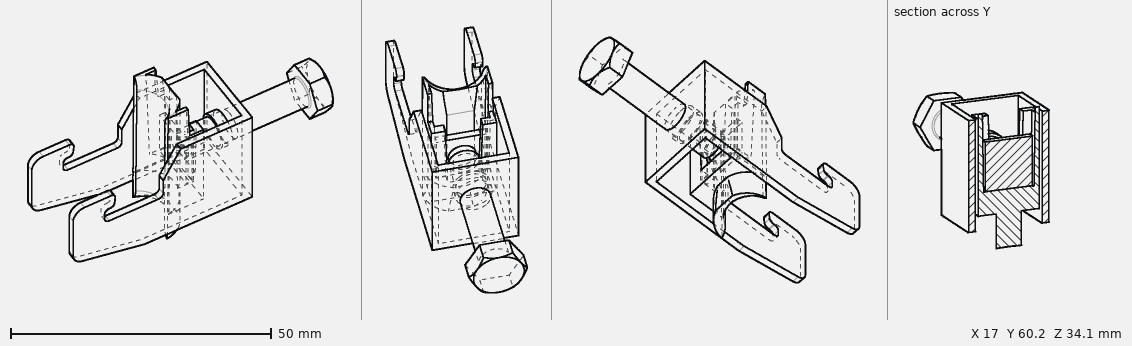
import cadquery as cq
import math


BRACKET_WIDTH = 17.0
SHEET = 1.5
BRACKET_TOP = 9.75
BRACKET_BOTTOM = -12.8
LEG_END = -40.05
SHOULDER_Y = -16.0
SLOT_BACK = -19.95
SLOT_FRONT = -33.0
SLOT_FLOOR = -1.7
SLOT_BACK_TOP = 3.0
HOOK_TOP = 5.2
LIP_BOTTOM = 1.75
LIP_TIP_TOP = -30.5
LIP_TIP_BOTTOM = -30.9
CHIN_START = -24.1
CHIN_HEIGHT = 3.45
SMALL_RADIUS = 1.0
NOSE_RADIUS = 2.55
COLLAR_DIAMETER = 7.2
COLLAR_LENGTH = 2.3
SELECT_MARGIN = 0.05

SHANK_DIAMETER = 6.0
HEAD_FLATS = 10.0
HEAD_HEIGHT = 4.0
OVERALL_LENGTH = 60.25
HEAD_TOP = OVERALL_LENGTH + LEG_END
HEAD_CHAMFER = 0.65
UNDERHEAD_RADIUS = 0.3
SHANK_END = -9.9
NECK_START_DIAMETER = 4.45
NECK_END_DIAMETER = 5.4

PLATE_WIDTH = 10.05
PLATE_BACK = -11.45
PLATE_FRONT = -12.8

SADDLE_WIDTH = 12.85
SADDLE_TOP = 17.35
SADDLE_BOTTOM = -16.7
RIM_TOP_Y = -17.6
RIM_BOTTOM_Y = -17.85
BACK_TOP_Y = -13.15
BACK_BOTTOM_Y = -12.65
CROWN_Y = -12.0
CROWN_Z = -3.2
BLOCK_BACK = -9.7
BLOCK_TOP = BRACKET_TOP
BLOCK_BOTTOM = -BLOCK_TOP
POCKET_BACK = -11.3
POCKET_FLOOR = -PLATE_WIDTH / 2
POCKET_FLOOR_WIDTH = 10.5
POCKET_TOP_WIDTH = 11.2
NOTCH_FLOOR_WIDTH = 6.5
NOTCH_TOP_WIDTH = 7.35
TROUGH_RADIUS = 6.45
TROUGH_AXIS_Y = -18.6
BORE_RADIUS = 6.0
BORE_AXIS_Y = -20.6
FLARE_LENGTH = 2.7
FLARE_STEPS = 4
MOUTH_LIP = 0.05
MOUTH_RADIUS = TROUGH_RADIUS - MOUTH_LIP


def extrude_along_x(profile, width):
    """Extrude a closed YZ profile symmetrically about x = 0."""
    return profile.extrude(width / 2, both=True)


def cylinder_along_y(diameter, y_start, y_end):
    plane = cq.Plane(origin=(0, y_start, 0), xDir=(1, 0, 0), normal=(0, -1, 0))
    return cq.Workplane(plane).circle(diameter / 2).extrude(y_start - y_end)


def fillet_corners(solid, corners, radius):
    """Round the edges along X that pass through the given (y, z) corners."""
    for y, z in corners:
        around_corner = cq.selectors.BoxSelector(
            (-BRACKET_WIDTH, y - SELECT_MARGIN, z - SELECT_MARGIN),
            (BRACKET_WIDTH, y + SELECT_MARGIN, z + SELECT_MARGIN),
        )
        solid = solid.edges("|X").edges(around_corner).fillet(radius)
    return solid


def make_bracket():
    nose_z = BRACKET_BOTTOM + CHIN_HEIGHT
    slot_corners = [(SLOT_BACK, SLOT_FLOOR), (SLOT_FRONT, SLOT_FLOOR)]
    lip_corners = [(SLOT_FRONT, LIP_BOTTOM), (LIP_TIP_BOTTOM, LIP_BOTTOM), (LIP_TIP_TOP, HOOK_TOP)]
    nose_corners = [(LEG_END, HOOK_TOP), (LEG_END, nose_z)]
    outline = [
        (0, BRACKET_BOTTOM),
        (0, BRACKET_TOP),
        (SHOULDER_Y, BRACKET_TOP),
        (SLOT_BACK, SLOT_BACK_TOP),
        *slot_corners,
        *lip_corners,
        *nose_corners,
        (CHIN_START, BRACKET_BOTTOM),
    ]
    body = extrude_along_x(cq.Workplane("YZ").polyline(outline).close(), BRACKET_WIDTH)
    body = fillet_corners(body, slot_corners + lip_corners, SMALL_RADIUS)
    body = fillet_corners(body, nose_corners, NOSE_RADIUS)

    channel_outline = [
        (-SHEET, BRACKET_BOTTOM),
        (-SHEET, BRACKET_TOP),
        (LEG_END, BRACKET_TOP),
        (LEG_END, BRACKET_BOTTOM),
    ]
    channel_width = BRACKET_WIDTH - 2 * SHEET
    channel = extrude_along_x(cq.Workplane("YZ").polyline(channel_outline).close(), channel_width)
    collar = cylinder_along_y(COLLAR_DIAMETER, -SHEET, -SHEET - COLLAR_LENGTH)
    bolt_hole = cylinder_along_y(SHANK_DIAMETER, 0, -SHEET - COLLAR_LENGTH)
    return body.cut(channel).union(collar).cut(bolt_hole)


def make_bolt():
    corner_radius = HEAD_FLATS / math.sqrt(3)
    flat_radius = HEAD_FLATS / 2
    underhead = HEAD_TOP - HEAD_HEIGHT

    head_plane = cq.Plane(origin=(0, HEAD_TOP, 0), xDir=(1, 0, 0), normal=(0, -1, 0))
    hexagon = cq.Workplane(head_plane).polygon(6, 2 * corner_radius).extrude(HEAD_HEIGHT)
    chamfered_blank = (
        cq.Workplane("XY")
        .moveTo(0, HEAD_TOP)
        .lineTo(flat_radius, HEAD_TOP)
        .lineTo(corner_radius, HEAD_TOP - HEAD_CHAMFER)
        .lineTo(corner_radius, underhead)
        .lineTo(0, underhead)
        .close()
        .revolve(360, (0, 0, 0), (0, 1, 0))
    )
    head = hexagon.intersect(chamfered_blank)

    shank_radius = SHANK_DIAMETER / 2
    fillet_sag = UNDERHEAD_RADIUS * (1 - math.sqrt(0.5))
    stem = (
        cq.Workplane("XY")
        .moveTo(0, underhead)
        .lineTo(shank_radius + UNDERHEAD_RADIUS, underhead)
        .threePointArc(
            (shank_radius + fillet_sag, underhead - fillet_sag),
            (shank_radius, underhead - UNDERHEAD_RADIUS),
        )
        .lineTo(shank_radius, SHANK_END)
        .lineTo(NECK_START_DIAMETER / 2, SHANK_END)
        .lineTo(NECK_END_DIAMETER / 2, PLATE_BACK)
        .lineTo(0, PLATE_BACK)
        .close()
        .revolve(360, (0, 0, 0), (0, 1, 0))
    )
    return head.union(stem)


def make_plate():
    thickness = PLATE_BACK - PLATE_FRONT
    middle_y = (PLATE_BACK + PLATE_FRONT) / 2
    return cq.Workplane("XY").box(PLATE_WIDTH, thickness, PLATE_WIDTH).translate((0, middle_y, 0))


def make_drafted_slot(floor_width, top_width, top, y_back, y_front):
    """A slot cutter along Y whose side walls lean outward from the pocket floor to `top`."""
    plane = cq.Plane(origin=(0, y_back, 0), xDir=(1, 0, 0), normal=(0, -1, 0))
    return (
        cq.Workplane(plane)
        .moveTo(-floor_width / 2, POCKET_FLOOR)
        .lineTo(floor_width / 2, POCKET_FLOOR)
        .lineTo(top_width / 2, top)
        .lineTo(-top_width / 2, top)
        .close()
        .extrude(y_back - y_front)
    )


def make_pocket(y_front):
    return make_drafted_slot(POCKET_FLOOR_WIDTH, POCKET_TOP_WIDTH, SADDLE_TOP, POCKET_BACK, y_front)


def make_bolt_notch():
    """The open-topped notch that lets the bolt through the back wall of the pocket."""
    return make_drafted_slot(NOTCH_FLOOR_WIDTH, NOTCH_TOP_WIDTH, BLOCK_TOP, BLOCK_BACK, POCKET_BACK)


def make_flare(end_z, inward):
    """A rounded mouth that widens from the bore circle to the outer curve of the trough.

    `inward` is the Z direction, +1 or -1, from the end face into the saddle.
    """
    sections = []
    for step in range(FLARE_STEPS + 1):
        angle = math.pi / 2 * step / FLARE_STEPS
        spread = 1 - math.cos(angle)
        radius = BORE_RADIUS + (MOUTH_RADIUS - BORE_RADIUS) * spread
        axis_y = BORE_AXIS_Y + (TROUGH_AXIS_Y - BORE_AXIS_Y) * spread
        z = end_z + inward * FLARE_LENGTH * (1 - math.sin(angle))
        sections.append(cq.Wire.makeCircle(radius, cq.Vector(0, axis_y, z), cq.Vector(0, 0, 1)))
    return cq.Workplane(cq.Solid.makeLoft(sections))


def y_on_line(start, end, z):
    """The y at height z on the line through two (y, z) points."""
    return start[0] + (end[0] - start[0]) * (z - start[1]) / (end[1] - start[1])


def make_saddle():
    trough_outline = [
        (RIM_BOTTOM_Y, SADDLE_BOTTOM),
        (RIM_TOP_Y, SADDLE_TOP),
        (BACK_TOP_Y, SADDLE_TOP),
        (CROWN_Y, CROWN_Z),
        (BACK_BOTTOM_Y, SADDLE_BOTTOM),
    ]
    trough_envelope = extrude_along_x(
        cq.Workplane("YZ").polyline(trough_outline).close(), SADDLE_WIDTH
    )
    trough = (
        cq.Workplane("XY", origin=(0, TROUGH_AXIS_Y, SADDLE_BOTTOM))
        .circle(TROUGH_RADIUS)
        .extrude(SADDLE_TOP - SADDLE_BOTTOM)
        .intersect(trough_envelope)
    )

    rim_bottom, rim_top, back_top, crown = trough_outline[:4]
    block_outline = [
        (y_on_line(rim_bottom, rim_top, BLOCK_BOTTOM), BLOCK_BOTTOM),
        rim_top,
        back_top,
        (y_on_line(crown, back_top, BLOCK_TOP), BLOCK_TOP),
        (BLOCK_BACK, BLOCK_TOP),
        (BLOCK_BACK, BLOCK_BOTTOM),
    ]
    block = extrude_along_x(cq.Workplane("YZ").polyline(block_outline).close(), SADDLE_WIDTH)

    bore = (
        cq.Workplane("XY", origin=(0, BORE_AXIS_Y, SADDLE_BOTTOM))
        .circle(BORE_RADIUS)
        .extrude(SADDLE_TOP - SADDLE_BOTTOM)
    )
    hollow_block = block.cut(make_pocket(RIM_BOTTOM_Y))
    plate_bay = make_pocket(PLATE_FRONT)
    return (
        hollow_block.union(trough)
        .cut(plate_bay)
        .cut(make_bolt_notch())
        .cut(bore)
        .cut(make_flare(SADDLE_BOTTOM, 1))
        .cut(make_flare(SADDLE_TOP, -1))
    )


bracket = make_bracket()
bolt = make_bolt()
plate = make_plate()
saddle = make_saddle()

bodies = [bracket, bolt, plate, saddle]
result = cq.Compound.makeCompound([body.solids().val() for body in bodies])